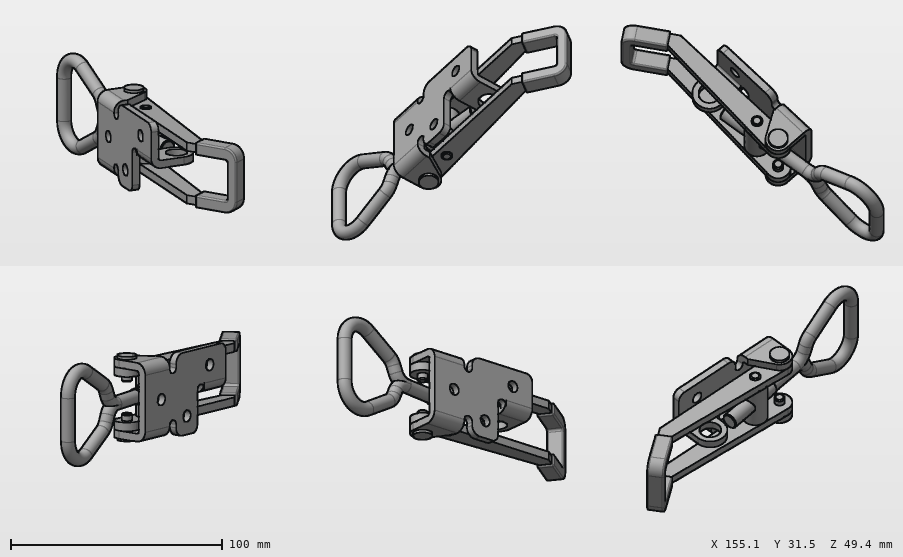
import cadquery as cq
import math


SIDES = (1, -1)

sheet = 3.9
bend_radius = 5.3
bend_inner_radius = bend_radius - sheet
pivot_y = 16.1
pivot_radius = 6.0
bracket_left = -pivot_radius
ear_outer_z = 19.1
ear_inner_z = ear_outer_z - sheet
bend_line_z = ear_outer_z - bend_radius
ear_right = 12.4
ear_corner_y = 7.3
wing_left = 17.0
wing_z = 20.0
lower_wing_right = 33.0
plate_right = 54.2
wing_inner_radius = 4.7
wing_outer_radius = 3.7
notch_bottom_z = 11.3
screw_hole_radius = 2.8
screw_holes = ((6.0, 0), (42.2, 11.0), (25.1, -11.0))

staple_width = 16.1
staple_left = plate_right - staple_width
staple_outer_z = -2.3
staple_bend_z = staple_outer_z + bend_radius
staple_eye_y = 16.9
staple_eye_radius = 5.1
relief_top_z = 2.6

arm_thickness = 4.2
arm_outer_z = ear_inner_z
arm_inner_z = arm_outer_z - arm_thickness
grip_angle = 35.2
arm_bend_x = 72.6
arm_bend_y = pivot_y - pivot_radius
bent_arm_width = 6.2
bent_arm_length = 12.4
grip_skin = 1.01
grip_start = 5.1
grip_length = 22.3
grip_bar_width = 5.0
grip_outer_z = arm_outer_z + grip_skin
grip_inner_z = arm_inner_z - grip_skin
grip_corner_radius = 6.4
grip_inner_radius = 1.2
grip_edge_radius = 0.8

rivet_radius = 2.5
rivet_head_radius = 4.7
rivet_head_height = 1.4
rivet_end_z = 7.8
rivet_chamfer = 0.6

trunnion_x = 15.2
trunnion_y = 15.4
trunnion_radius = 6.0
trunnion_pin_radius = 2.6
trunnion_pin_end_z = arm_outer_z + 0.5
trunnion_pin_chamfer = 0.8
countersink_radius = 5.5

eye_tilt = 7.5
wire_radius = 3.4
thread_radius = 3.9
thread_chamfer = 0.5
thread_start = -11.8
thread_end = 19.5
eye_bar = -72.3
eye_half_height = 24.7
eye_corner_radius = 10.7
eye_corner_z = eye_half_height - wire_radius - eye_corner_radius
neck_bend_radius = 7.8
leg_angle = 30
neck_angle = 65
neck_straight = 3.7


def tangent_point(point):
    """Where a line from point touches the upper part of the pivot_radius circle."""
    px, py = point[0], point[1] - pivot_y
    angle = math.atan2(py, px) + math.acos(pivot_radius / math.hypot(px, py))
    return (pivot_radius * math.cos(angle), pivot_y + pivot_radius * math.sin(angle))


def tilted_plane(x, y, degrees):
    """Plane whose local x is tilted from X toward Y and whose local y is Z."""
    c, s = math.cos(math.radians(degrees)), math.sin(math.radians(degrees))
    return cq.Plane(origin=(x, y, 0), xDir=(c, s, 0), normal=(s, -c, 0))


def z_cylinder(x, y, radius, z_from, z_to):
    return cq.Workplane("XY", origin=(x, y, z_from)).circle(radius).extrude(z_to - z_from)


def plate_workplane():
    """XZ workplane on the mounting face; negative extrusion goes into +Y."""
    return cq.Workplane("XZ")


def make_bracket():
    length = ear_right - bracket_left

    base = cq.Workplane("XY", origin=(bracket_left, 0, 0)).box(
        lower_wing_right - bracket_left, sheet, 2 * bend_line_z, centered=(False, False, True)
    )
    upper_wing = (
        plate_workplane()
        .moveTo(wing_left, 0)
        .lineTo(wing_left, wing_z)
        .lineTo(plate_right, wing_z)
        .lineTo(plate_right, staple_bend_z)
        .lineTo(staple_left, staple_bend_z)
        .lineTo(staple_left, 0)
        .close()
        .extrude(-sheet)
        .edges("|Y and >Z and <X")
        .fillet(wing_inner_radius)
        .edges("|Y and >Z and >X")
        .fillet(wing_outer_radius)
    )
    lower_wing = (
        cq.Workplane("XY", origin=(wing_left, 0, -wing_z))
        .box(lower_wing_right - wing_left, sheet, wing_z, centered=False)
        .edges("|Y and <Z and <X")
        .fillet(wing_inner_radius)
        .edges("|Y and <Z and >X")
        .fillet(wing_outer_radius)
    )
    bracket = base.union(upper_wing).union(lower_wing)

    ear_top = pivot_y + pivot_radius
    channel = (
        cq.Workplane("XY", origin=(bracket_left, 0, 0))
        .box(length, ear_top, 2 * ear_outer_z, centered=(False, False, True))
        .edges("|X and <Y")
        .fillet(bend_radius)
    )
    channel_inside = (
        cq.Workplane("XY", origin=(bracket_left, sheet, 0))
        .box(length, ear_top, 2 * ear_inner_z, centered=(False, False, True))
        .edges("|X and <Y")
        .fillet(bend_inner_radius)
    )
    ear_corner = (ear_right, ear_corner_y)
    ear_outline = (
        cq.Workplane("XY")
        .moveTo(bracket_left, 0)
        .lineTo(ear_right, 0)
        .lineTo(*ear_corner)
        .lineTo(*tangent_point(ear_corner))
        .threePointArc((0, ear_top), (bracket_left, pivot_y))
        .close()
        .extrude(ear_outer_z, both=True)
    )
    bracket = bracket.union(channel.cut(channel_inside).intersect(ear_outline))

    notch_radius = (wing_left - ear_right) / 2
    notch_x = ear_right + notch_radius
    for side in SIDES:
        notch = (
            plate_workplane()
            .center(notch_x, side * (notch_bottom_z + wing_z))
            .slot2D(2 * wing_z, 2 * notch_radius, 90)
            .extrude(-sheet)
        )
        bracket = bracket.cut(notch)

    relief_width = staple_left - lower_wing_right
    relief = (
        plate_workplane()
        .center(lower_wing_right + relief_width / 2, relief_top_z - wing_z)
        .slot2D(2 * wing_z, relief_width, 90)
        .extrude(-sheet)
    )
    bracket = bracket.cut(relief).union(make_staple())

    holes = plate_workplane().pushPoints(screw_holes).circle(screw_hole_radius).extrude(-sheet)
    pivot_bore = z_cylinder(0, pivot_y, rivet_radius, -ear_outer_z, ear_outer_z)
    return bracket.cut(holes).cut(pivot_bore)


def make_staple():
    """Round-topped tab bent up from the plate, with an eye through it."""
    top_radius = staple_width / 2
    eye_x = staple_left + top_radius
    bend_section = (
        cq.Workplane("YZ", origin=(staple_left, 0, 0))
        .moveTo(0, staple_bend_z)
        .radiusArc((bend_radius, staple_outer_z), -bend_radius)
        .lineTo(bend_radius, staple_outer_z + sheet)
        .radiusArc((sheet, staple_bend_z), bend_inner_radius)
        .close()
        .extrude(staple_width)
    )
    tab = (
        cq.Workplane("XY", origin=(0, 0, staple_outer_z))
        .moveTo(staple_left, bend_radius)
        .lineTo(plate_right, bend_radius)
        .lineTo(plate_right, staple_eye_y)
        .threePointArc(
            (eye_x, staple_eye_y + top_radius), (staple_left, staple_eye_y)
        )
        .close()
        .extrude(sheet)
    )
    eye = z_cylinder(eye_x, staple_eye_y, staple_eye_radius, staple_outer_z, staple_outer_z + sheet)
    return bend_section.union(tab).cut(eye)


def make_arm(side):
    c, s = math.cos(math.radians(grip_angle)), math.sin(math.radians(grip_angle))
    tail_bottom = (arm_bend_x + bent_arm_length * c, arm_bend_y + bent_arm_length * s)
    tail_top = (tail_bottom[0] - bent_arm_width * s, tail_bottom[1] + bent_arm_width * c)
    bend_top = (
        arm_bend_x + grip_start * c - bent_arm_width * s,
        arm_bend_y + grip_start * s + bent_arm_width * c,
    )
    return (
        cq.Workplane("XY", origin=(0, 0, side * arm_inner_z))
        .moveTo(0, arm_bend_y)
        .lineTo(arm_bend_x, arm_bend_y)
        .lineTo(*tail_bottom)
        .lineTo(*tail_top)
        .lineTo(*bend_top)
        .lineTo(*tangent_point(bend_top))
        .threePointArc((-pivot_radius, pivot_y), (0, arm_bend_y))
        .close()
        .extrude(side * arm_thickness)
    )


def make_grip():
    """U-shaped grip round the bent ends of both arms, joining them."""
    grip_end = grip_start + grip_length
    bar_start = grip_end - grip_bar_width
    thickness = bent_arm_width + 2 * grip_skin
    plane = tilted_plane(arm_bend_x, arm_bend_y, grip_angle)
    start = cq.Workplane(plane).workplane(offset=grip_skin - thickness)
    grip = (
        start.moveTo(grip_start, -grip_outer_z)
        .lineTo(grip_end - grip_corner_radius, -grip_outer_z)
        .radiusArc((grip_end, -grip_outer_z + grip_corner_radius), -grip_corner_radius)
        .lineTo(grip_end, grip_outer_z - grip_corner_radius)
        .radiusArc((grip_end - grip_corner_radius, grip_outer_z), -grip_corner_radius)
        .lineTo(grip_start, grip_outer_z)
        .lineTo(grip_start, grip_inner_z)
        .lineTo(bar_start - grip_inner_radius, grip_inner_z)
        .radiusArc((bar_start, grip_inner_z - grip_inner_radius), grip_inner_radius)
        .lineTo(bar_start, -grip_inner_z + grip_inner_radius)
        .radiusArc((bar_start - grip_inner_radius, -grip_inner_z), grip_inner_radius)
        .lineTo(grip_start, -grip_inner_z)
        .close()
        .extrude(thickness)
    )
    return grip.edges().fillet(grip_edge_radius)


def make_lever():
    lever = make_grip()
    for side in SIDES:
        lever = lever.union(make_arm(side))
    pivot_bore = z_cylinder(0, pivot_y, rivet_radius, -arm_outer_z, arm_outer_z)
    trunnion_bore = z_cylinder(
        trunnion_x, trunnion_y, trunnion_pin_radius, -arm_outer_z, arm_outer_z
    )
    return lever.cut(pivot_bore).cut(trunnion_bore)


def make_rivet(side):
    pin = z_cylinder(0, pivot_y, rivet_radius, rivet_end_z, ear_outer_z)
    pin = pin.faces("<Z").chamfer(rivet_chamfer)
    head = z_cylinder(
        0, pivot_y, rivet_head_radius, ear_outer_z, ear_outer_z + rivet_head_height
    )
    rivet = pin.union(head)
    if side < 0:
        rivet = rivet.mirror("XY")
    return rivet


def shank_section():
    """Workplane square to the shank, at the trunnion axis."""
    plane = tilted_plane(trunnion_x, trunnion_y, eye_tilt)
    return cq.Workplane(cq.Plane(origin=plane.origin, xDir=(0, 0, 1), normal=plane.xDir))


def make_trunnion():
    body = z_cylinder(trunnion_x, trunnion_y, trunnion_radius, -arm_inner_z, arm_inner_z)
    pins = z_cylinder(
        trunnion_x, trunnion_y, trunnion_pin_radius, -trunnion_pin_end_z, trunnion_pin_end_z
    )
    pins = pins.faces("<Z or >Z").chamfer(trunnion_pin_chamfer)
    bore = shank_section().circle(thread_radius).extrude(2 * trunnion_radius, both=True)
    countersink_depth = countersink_radius - thread_radius
    countersink = (
        shank_section()
        .workplane(offset=-trunnion_radius)
        .circle(countersink_radius)
        .workplane(offset=countersink_depth)
        .circle(thread_radius)
        .loft()
    )
    return body.union(pins).cut(bore).cut(countersink)


def eye_half(side):
    """Half of the wire loop, swept from the shank round to the end bar."""
    leg, neck = math.radians(leg_angle), math.radians(neck_angle)
    corner_x = eye_bar + eye_corner_radius
    leg_start_x = corner_x + eye_corner_radius * math.sin(leg)
    leg_start_z = eye_corner_z + eye_corner_radius * math.cos(leg)

    bend_end_z = neck_bend_radius * (1 - math.cos(neck))
    neck_end_z = bend_end_z + neck_straight * math.sin(neck)
    leg_end_z = neck_end_z + neck_bend_radius * (math.cos(leg) - math.cos(neck))

    leg_end_x = leg_start_x + (leg_start_z - leg_end_z) / math.tan(leg)
    neck_end_x = leg_end_x + neck_bend_radius * (math.sin(neck) - math.sin(leg))
    bend_end_x = neck_end_x + neck_straight * math.cos(neck)
    shank_x = bend_end_x + neck_bend_radius * math.sin(neck)

    path = (
        cq.Workplane(tilted_plane(trunnion_x, trunnion_y, eye_tilt))
        .moveTo(thread_start, 0)
        .lineTo(shank_x, 0)
        .radiusArc((bend_end_x, side * bend_end_z), side * neck_bend_radius)
        .lineTo(neck_end_x, side * neck_end_z)
        .radiusArc((leg_end_x, side * leg_end_z), -side * neck_bend_radius)
        .lineTo(leg_start_x, side * leg_start_z)
        .radiusArc((eye_bar, side * eye_corner_z), -side * eye_corner_radius)
    )
    return shank_section().workplane(offset=thread_start).circle(wire_radius).sweep(path)


def make_pull_eye():
    thread = (
        shank_section()
        .workplane(offset=thread_start)
        .circle(thread_radius)
        .extrude(thread_end - thread_start)
        .faces("<X or >X")
        .chamfer(thread_chamfer)
    )
    end_bar = (
        cq.Workplane(tilted_plane(trunnion_x, trunnion_y, eye_tilt).rotated((90, 0, 0)))
        .workplane(offset=-eye_corner_z)
        .center(eye_bar, 0)
        .circle(wire_radius)
        .extrude(2 * eye_corner_z)
    )
    return eye_half(1).union(eye_half(-1)).union(end_bar).union(thread)


bracket = make_bracket()
lever = make_lever()
rivets = [make_rivet(side) for side in SIDES]
trunnion = make_trunnion()
pull_eye = make_pull_eye()

result = cq.Compound.makeCompound(
    [
        bracket.val(),
        lever.val(),
        *[rivet.val() for rivet in rivets],
        trunnion.val(),
        pull_eye.val(),
    ]
)